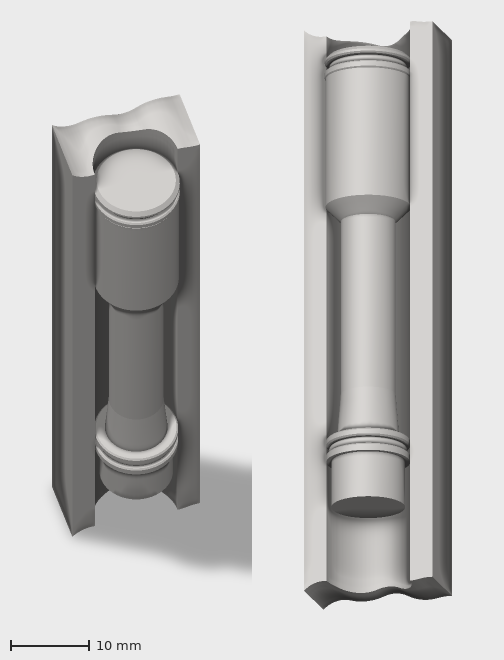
import cadquery as cq


block_width = 17.1
block_depth = block_width / 2
block_height = 74.78
bore_diameter = 11.1

wave_start_depth = 0.33
wave_arcs = [
    (6.75, 0.20, -6.7),
    (2.69, 0.83, 5.8),
    (-0.44, 1.07, -3.67),
    (-4.96, 0.93, 6.9),
    (-block_width / 2, 0.0, -3.56),
]

pin_length = 60.0
pin_top_z = 33.0
head_diameter = bore_diameter
head_chamfer = 0.5
body_diameter = 10.9
stem_diameter = 7.0
taper_end_diameter = 8.0
lower_land_diameter = 10.7
tail_diameter = 9.4
land_chamfer = 0.2

land_height = 1.0
collar_height = 3 * land_height
ring_bulge = land_height / 2
ring_edge_diameter = 9.0

body_end = 20.0
taper_start = 45.0
lower_collar_start = 51.0


def wave_line(outline, side):
    """Add the break wave to an outline in the YZ plane; side is 1 for the top end, -1 for the bottom."""
    for y, depth, radius in wave_arcs:
        outline = outline.radiusArc((y, side * (block_height / 2 - depth)), -side * radius)
    return outline


def wave_cutter(side):
    """Solid that fills the space beyond the break wave at one end of the block."""
    half_width = block_width / 2
    outer_z = side * block_height
    start_z = side * (block_height / 2 - wave_start_depth)
    outline = cq.Workplane("YZ", origin=(-block_depth, 0, 0)).moveTo(half_width, start_z)
    outline = wave_line(outline, side)
    return outline.lineTo(-half_width, outer_z).lineTo(half_width, outer_z).close().extrude(block_depth)


def make_block():
    """Half bar with wavy ends and a half-round bore along its +X face."""
    block = cq.Workplane("XY").box(block_depth, block_width, block_height)
    block = block.translate((-block_depth / 2, 0, 0))
    for side in (1, -1):
        block = block.cut(wave_cutter(side))
    bore = cq.Workplane("XY").circle(bore_diameter / 2).extrude(block_height / 2, both=True)
    return block.cut(bore)


def add_land(profile, diameter, start, top_chamfer, bottom_chamfer):
    """Add one land to the pin profile, from its top rim down; a zero bottom chamfer leaves a sharp rim."""
    radius = diameter / 2
    end = start + land_height
    profile = profile.lineTo(radius - top_chamfer, -start).lineTo(radius, -start - top_chamfer)
    profile = profile.lineTo(radius, -end + bottom_chamfer)
    if bottom_chamfer > 0:
        profile = profile.lineTo(radius - bottom_chamfer, -end)
    return profile


def add_collar(profile, diameter, start, top_chamfer, bottom_chamfer):
    """Add a land, a bulged ring and a second land to the pin profile."""
    ring_start = start + land_height
    ring_end = ring_start + land_height
    ring_edge = ring_edge_diameter / 2
    profile = add_land(profile, diameter, start, top_chamfer, land_chamfer)
    profile = profile.lineTo(ring_edge, -ring_start)
    profile = profile.threePointArc(
        (ring_edge + ring_bulge, -(ring_start + ring_end) / 2), (ring_edge, -ring_end)
    )
    return add_land(profile, diameter, ring_end, land_chamfer, bottom_chamfer)


def make_pin():
    """Turned pin, revolved from a half profile in the XZ plane with its top at zero."""
    stem_radius = stem_diameter / 2
    body_radius = body_diameter / 2
    tail_radius = tail_diameter / 2
    cone_height = body_radius - stem_radius

    profile = cq.Workplane("XZ").moveTo(0, 0)
    profile = add_collar(profile, head_diameter, 0, head_chamfer, land_chamfer)
    profile = (
        profile.lineTo(body_radius, -collar_height)
        .lineTo(body_radius, -body_end)
        .lineTo(stem_radius, -body_end - cone_height)
        .lineTo(stem_radius, -taper_start)
        .lineTo(taper_end_diameter / 2, -lower_collar_start)
    )
    profile = add_collar(profile, lower_land_diameter, lower_collar_start, land_chamfer, 0)
    profile = (
        profile.lineTo(tail_radius, -lower_collar_start - collar_height)
        .lineTo(tail_radius, -pin_length)
        .lineTo(0, -pin_length)
        .close()
    )
    return profile.revolve(360, (0, 0, 0), (0, 1, 0)).translate((0, 0, pin_top_z))


block = make_block()
pin = make_pin()

result = cq.Compound.makeCompound([block.val(), pin.val()])